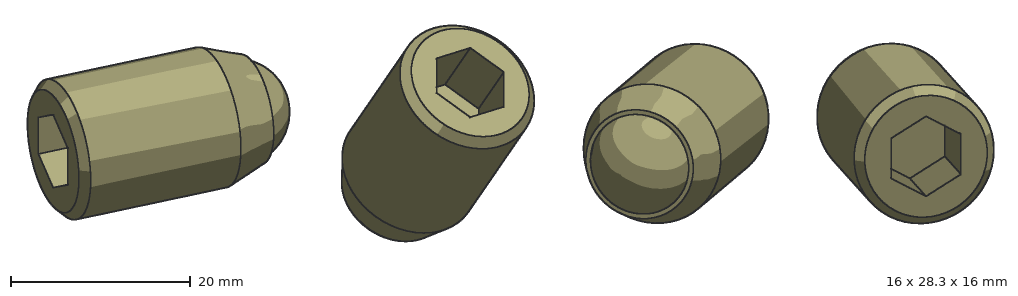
import cadquery as cq
import math

total_length = 28.3
body_diameter = 16.0
end_chamfer = 1.0
nose_length = 4.78
nose_angle = 20.0
ball_diameter = 12.0
ball_protrusion = 4.2
hex_across_flats = 7.98
hex_depth = 7.98

body_radius = body_diameter / 2
ball_radius = ball_diameter / 2
body_length = total_length - ball_protrusion
nose_start = body_length - nose_length
nose_radius = body_radius - nose_length * math.tan(math.radians(nose_angle))
ball_center_y = total_length - ball_radius
hex_across_corners = hex_across_flats / math.cos(math.radians(30))


def make_ball():
    """Full sphere whose poles lie on the screw axis."""
    return (
        cq.Workplane("XY")
        .moveTo(0, ball_center_y - ball_radius)
        .threePointArc((ball_radius, ball_center_y), (0, total_length))
        .close()
        .revolve(360, (0, 0), (0, 1))
    )


def make_blank():
    """Turned blank with a chamfered drive end and a tapered nose."""
    return (
        cq.Workplane("XY")
        .polyline([
            (0, 0),
            (body_radius - end_chamfer, 0),
            (body_radius, end_chamfer),
            (body_radius, nose_start),
            (nose_radius, body_length),
            (0, body_length),
        ])
        .close()
        .revolve(360, (0, 0), (0, 1))
    )


def make_hex_socket():
    """Hexagonal prism with two corners on the Z direction."""
    return (
        cq.Workplane("XZ")
        .transformed(rotate=(0, 0, 90))
        .polygon(6, hex_across_corners)
        .extrude(-hex_depth)
    )


ball = make_ball()

screw_body = make_blank().cut(make_hex_socket()).cut(ball)

result = cq.Compound.makeCompound([screw_body.val(), ball.val()])